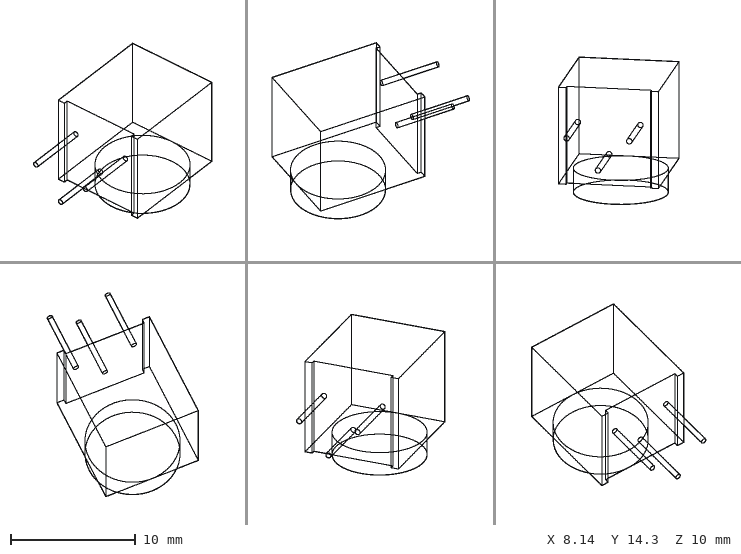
import cadquery as cq

body_width = 8.14
body_depth = 9.52
body_height = 8.02
rail_width = 0.63
rail_depth = 0.36

knob_diameter = 7.62
knob_height = 2.0

overall_depth = 14.3
pin_diameter = 0.45
pin_pitch = 2.55
outer_pin_height = 5.1

pin_tip_y = -overall_depth
recess_floor_y = -body_depth + rail_depth


def make_body():
    block = cq.Workplane("XY").box(
        body_width, body_depth, body_height, centered=(True, False, False)
    ).translate((0, -body_depth, 0))
    recess = cq.Workplane("XY").box(
        body_width - 2 * rail_width, rail_depth, body_height, centered=(True, False, False)
    ).translate((0, -body_depth, 0))
    return block.cut(recess)


def make_knob():
    return (
        cq.Workplane("XY")
        .center(0, -knob_diameter / 2)
        .circle(knob_diameter / 2)
        .extrude(-knob_height)
    )


def make_pins():
    pin_places = [
        (-pin_pitch, outer_pin_height),
        (0, outer_pin_height - pin_pitch),
        (pin_pitch, outer_pin_height),
    ]
    return (
        cq.Workplane("XZ", origin=(0, recess_floor_y, 0))
        .pushPoints(pin_places)
        .circle(pin_diameter / 2)
        .extrude(recess_floor_y - pin_tip_y)
    )


result = make_body().union(make_knob()).union(make_pins())